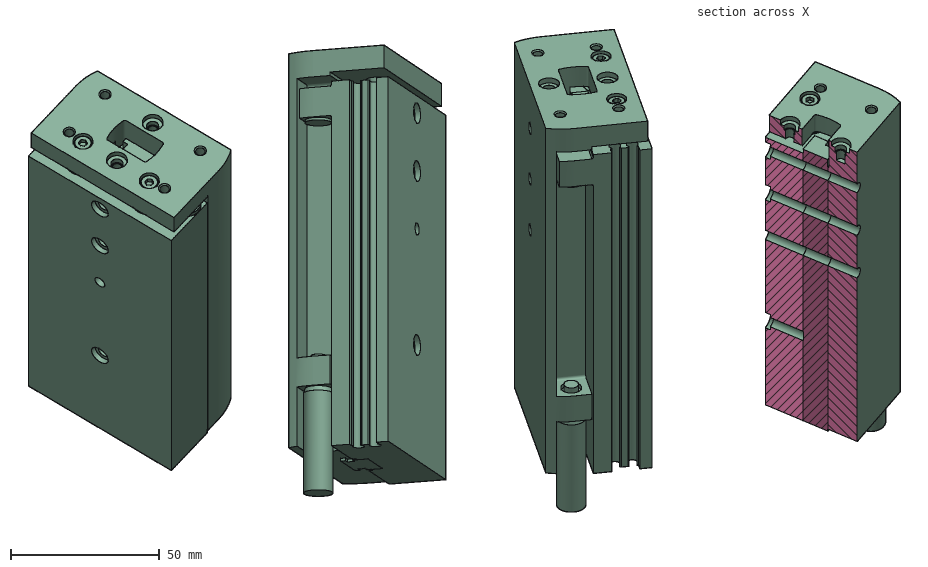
import cadquery as cq
import math

WIDTH = 60.0
DEPTH = 36.0
HEIGHT = 151.4
HALF_WIDTH = WIDTH / 2
HOLE_PITCH = 20.0

TABLE_LENGTH = 135.8
HEAD_THICKNESS = 7.9
HEAD_FRONT_Y = 1.5
BLOCK_FRONT_Y = 20.6
PLATE_THICKNESS = 3.5
SIDE_CURVE_INSET = 2.0
SIDE_CURVE_START_Y = 26.6
POCKET_WALL_X = -18.8
UPPER_POCKET_DEPTH = 9.1
LUG_TOP_DEPTH = 105.4
LUG_BOTTOM_DEPTH = 115.4
UPPER_POCKET_FILLET = 0.9
LOWER_POCKET_FILLET = 1.2
PLATE_INNER_Y = DEPTH - PLATE_THICKNESS

RAIL_WIDTH = 15.0
RAIL_FRONT_Y = 14.8
RAIL_BACK_Y = 24.5
RAIL_TOP_DEPTH = 9.2
RAIL_GROOVE_DEPTH = 2.0
RAIL_GROOVE_FRONT_Y = 20.3
RAIL_GROOVE_BACK_Y = 22.9
CHANNEL_CLEARANCE = 0.3
CHANNEL_END_WIDTH = 16.4
CHANNEL_MID_WIDTH = 17.7
CHANNEL_CORNER = 0.8
GUIDE_TOP_DEPTH = 12.7
GUIDE_FRONT_Y = 19.0
GUIDE_WIDTH = 18.2

HOUSING_TOP_DEPTH = 11.0
HOUSING_LENGTH = 125.7
HOUSING_BACK_Y = 20.1
SLOT_Y = (6.0, 12.0)
SLOT_BORE = 4.0
SLOT_THROAT = 2.7
SLOT_MOUTH = 3.6
SLOT_MOUTH_DEPTH = 0.2
SLOT_DEPTH = 4.0
SIDE_RECESS_DEPTH = 2.3
EAR_TOP_DEPTH = 12.7
EAR_BOTTOM_DEPTH = 22.9
EAR_BACK_Y = 31.6
EAR_INNER_X = -19.5
BUMPER_DIAMETER = 9.0
BUMPER_HEIGHT = 0.9
STOP_X = 24.8
STOP_Y = 15.1
STOP_DIAMETER = 10.0
STOP_TIP_DIAMETER = 5.0
STOP_HEIGHT = 1.5
STOP_TIP_HEIGHT = 0.9

THROUGH_HOLE = 4.1
DOWEL_BORE = 7.0
DOWEL_DEPTH = 2.0
THREAD_HOLE = 3.2
THREAD_DEPTH = 6.0
THREAD_MOUTH = 4.1
THREAD_MOUTH_DEPTH = 2.0
FIRST_HOLE_DEPTH = 17.0
HEAD_HOLE_FRONT_Y = 9.5

ROD_X = 14.0
ROD_Y = 9.1
ROD_DIAMETER = 8.0
ROD_RECESS_DIAMETER = 12.0
ROD_RECESS_DEPTH = 1.5
ROD_SHANK = 4.1
ROD_BORE = 6.7
ROD_BORE_DEPTH = 4.0
ROD_HEAD_DIAMETER = 6.0
ROD_HEAD_HEIGHT = 3.2
ROD_HEAD_CHAMFER = 0.3
SOCKET_FLATS = 2.5
SOCKET_DEPTH = 1.5

DAMPER_X = -24.5
DAMPER_Y = SIDE_CURVE_START_Y
DAMPER_DIAMETER = 10.0
DAMPER_TOP_DIAMETER = 9.0
DAMPER_CHAMFER_HEIGHT = 1.7
STUD_DIAMETER = 7.0
STUD_RECESS = 1.5
TIP_DIAMETER = 5.0
TIP_PROJECTION = 1.4

TABLE_BOTTOM = HEIGHT - TABLE_LENGTH
HEAD_BOTTOM = HEIGHT - HEAD_THICKNESS
LUG_TOP = HEIGHT - LUG_TOP_DEPTH
LUG_BOTTOM = HEIGHT - LUG_BOTTOM_DEPTH
HOUSING_TOP = HEIGHT - HOUSING_TOP_DEPTH
HOUSING_BOTTOM = HOUSING_TOP - HOUSING_LENGTH
EAR_TOP = HEIGHT - EAR_TOP_DEPTH
EAR_BOTTOM = HEIGHT - EAR_BOTTOM_DEPTH
GUIDE_TOP = HEIGHT - GUIDE_TOP_DEPTH
ROD_FOOT = HOUSING_TOP - ROD_RECESS_DEPTH
RAIL_TOP = HEIGHT - RAIL_TOP_DEPTH
FIRST_HOLE_Z = HEIGHT - FIRST_HOLE_DEPTH
SECOND_HOLE_Z = FIRST_HOLE_Z - HOLE_PITCH
THIRD_HOLE_Z = SECOND_HOLE_Z - HOLE_PITCH
FOURTH_HOLE_Z = THIRD_HOLE_Z - 2 * HOLE_PITCH
ACCESS_HOLE_HEIGHTS = (FIRST_HOLE_Z, SECOND_HOLE_Z, THIRD_HOLE_Z)
DOWEL_HOLE_HEIGHTS = (FIRST_HOLE_Z, SECOND_HOLE_Z, FOURTH_HOLE_Z)


def box(x0, x1, y0, y1, z0, z1):
    """Box between two opposite corners."""
    return cq.Workplane("XY").box(x1 - x0, y1 - y0, z1 - z0, centered=False).translate((x0, y0, z0))


def upright(diameter, x, y, z0, z1):
    """Cylinder along Z."""
    return cq.Workplane("XY", origin=(x, y, z0)).circle(diameter / 2).extrude(z1 - z0)


def bore_along_y(diameter, z, y0, y1):
    """Cylinder along Y on the mid plane."""
    return cq.Workplane("XZ", origin=(0, y0, z)).circle(diameter / 2).extrude(y0 - y1)


def curved_side_prism(front_y, z0, z1):
    """Full-width prism whose two sides curve inward toward the back face."""
    curve_length = DEPTH - SIDE_CURVE_START_Y
    radius = (SIDE_CURVE_INSET**2 + curve_length**2) / (2 * SIDE_CURVE_INSET)
    half_angle = math.asin(curve_length / radius) / 2
    mid_x = HALF_WIDTH - radius * (1 - math.cos(half_angle))
    mid_y = SIDE_CURVE_START_Y + radius * math.sin(half_angle)
    back_x = HALF_WIDTH - SIDE_CURVE_INSET
    return (
        cq.Workplane("XY", origin=(0, 0, z0))
        .moveTo(-HALF_WIDTH, front_y)
        .lineTo(HALF_WIDTH, front_y)
        .lineTo(HALF_WIDTH, SIDE_CURVE_START_Y)
        .threePointArc((mid_x, mid_y), (back_x, DEPTH))
        .lineTo(-back_x, DEPTH)
        .threePointArc((-mid_x, mid_y), (-HALF_WIDTH, SIDE_CURVE_START_Y))
        .close()
        .extrude(z1 - z0)
    )


def rail_profile(z0, z1):
    """Rectangular bar with a groove along each side."""
    half = RAIL_WIDTH / 2
    groove_x = half - RAIL_GROOVE_DEPTH
    bar = box(-half, half, RAIL_FRONT_Y, RAIL_BACK_Y, z0, z1)
    for x0, x1 in ((-half, -groove_x), (groove_x, half)):
        bar = bar.cut(box(x0, x1, RAIL_GROOVE_FRONT_Y, RAIL_GROOVE_BACK_Y, z0, z1))
    return bar


def make_rail():
    rail = rail_profile(HOUSING_BOTTOM, RAIL_TOP)
    for z in ACCESS_HOLE_HEIGHTS:
        rail = rail.cut(bore_along_y(THROUGH_HOLE, z, 0, DEPTH))
    return rail


def rail_channel():
    """Bow-sided opening around the rail, from the table top down to the guide."""
    front_y = RAIL_FRONT_Y - CHANNEL_CLEARANCE
    back_y = RAIL_BACK_Y + CHANNEL_CLEARANCE
    mid_y = (front_y + back_y) / 2
    end_x = CHANNEL_END_WIDTH / 2
    mid_x = CHANNEL_MID_WIDTH / 2
    return (
        cq.Workplane("XY", origin=(0, 0, GUIDE_TOP))
        .moveTo(-end_x, front_y)
        .lineTo(end_x, front_y)
        .threePointArc((mid_x, mid_y), (end_x, back_y))
        .lineTo(-end_x, back_y)
        .threePointArc((-mid_x, mid_y), (-end_x, front_y))
        .close()
        .extrude(GUIDE_TOP_DEPTH)
        .edges("|Z")
        .fillet(CHANNEL_CORNER)
    )


def rail_guide():
    """Shoulder of the carriage that stands forward beside the rail."""
    half = GUIDE_WIDTH / 2
    return box(-half, half, GUIDE_FRONT_Y, BLOCK_FRONT_Y, TABLE_BOTTOM, GUIDE_TOP)


def upper_pocket():
    """Side pocket between the head and the lug, rounded along its inner wall."""
    pocket = box(-WIDTH, POCKET_WALL_X, 0, PLATE_INNER_Y, LUG_TOP, HEIGHT - UPPER_POCKET_DEPTH)
    return pocket.faces(">X").edges("|Y").fillet(UPPER_POCKET_FILLET)


def lower_pocket():
    """Side pocket below the lug, open at the foot of the table."""
    pocket = box(-WIDTH, POCKET_WALL_X, 0, PLATE_INNER_Y, TABLE_BOTTOM, LUG_BOTTOM)
    return pocket.faces(">X").edges("|Y and >Z").fillet(LOWER_POCKET_FILLET)


def threaded_hole(x, y):
    """Blind hole in the head with a chamfered mouth."""
    mouth_depth = (THREAD_MOUTH - THREAD_HOLE) / 2
    hole = upright(THREAD_HOLE, x, y, HEIGHT - THREAD_DEPTH, HEIGHT)
    mouth = (
        cq.Workplane("XY", origin=(x, y, HEIGHT - mouth_depth))
        .circle(THREAD_HOLE / 2)
        .workplane(offset=mouth_depth)
        .circle(THREAD_MOUTH / 2)
        .loft()
    )
    return hole.union(mouth)


def make_table():
    head = curved_side_prism(HEAD_FRONT_Y, HEAD_BOTTOM, HEIGHT)
    carriage = curved_side_prism(BLOCK_FRONT_Y, TABLE_BOTTOM, HEIGHT)
    table = head.union(carriage)
    table = table.union(rail_guide())
    table = table.cut(upper_pocket()).cut(lower_pocket())
    table = table.cut(rail_channel()).cut(rail_profile(TABLE_BOTTOM, GUIDE_TOP))

    for y in (HEAD_HOLE_FRONT_Y, HEAD_HOLE_FRONT_Y + HOLE_PITCH):
        for x in (-HOLE_PITCH, HOLE_PITCH):
            table = table.cut(threaded_hole(x, y))
        table = table.cut(upright(THREAD_HOLE, 0, y, HEAD_BOTTOM, HEIGHT))
        table = table.cut(upright(THREAD_MOUTH, 0, y, HEIGHT - DOWEL_DEPTH - THREAD_MOUTH_DEPTH, HEIGHT))
        table = table.cut(upright(DOWEL_BORE, 0, y, HEIGHT - DOWEL_DEPTH, HEIGHT))

    for x in (-ROD_X, ROD_X):
        table = table.cut(upright(ROD_SHANK, x, ROD_Y, HEAD_BOTTOM, HEIGHT))
        table = table.cut(upright(ROD_BORE, x, ROD_Y, HEIGHT - ROD_BORE_DEPTH, HEIGHT))

    for z in ACCESS_HOLE_HEIGHTS:
        table = table.cut(bore_along_y(THROUGH_HOLE, z, 0, DEPTH))

    return table.cut(upright(STUD_DIAMETER, DAMPER_X, DAMPER_Y, LUG_BOTTOM, LUG_TOP))


def side_recess():
    """Shallow recess along the -X side that holds both sensor slots."""
    front_y = SLOT_Y[0] - SLOT_MOUTH / 2
    back_y = SLOT_Y[1] + SLOT_MOUTH / 2
    floor_x = SIDE_RECESS_DEPTH - HALF_WIDTH
    return box(-HALF_WIDTH, floor_x, front_y, back_y, HOUSING_BOTTOM, HOUSING_TOP)


def sensor_slot(y):
    """Round-bottomed slot in the recess floor with a chamfered, narrowed mouth."""
    floor_x = SIDE_RECESS_DEPTH - HALF_WIDTH
    bore_depth = SLOT_DEPTH - SLOT_BORE / 2
    bore = upright(SLOT_BORE, floor_x + bore_depth, y, HOUSING_BOTTOM, HOUSING_TOP)
    mouth = (
        cq.Workplane("XY", origin=(floor_x, y, HOUSING_BOTTOM))
        .moveTo(0, -SLOT_MOUTH / 2)
        .lineTo(SLOT_MOUTH_DEPTH, -SLOT_THROAT / 2)
        .lineTo(bore_depth, -SLOT_THROAT / 2)
        .lineTo(bore_depth, SLOT_THROAT / 2)
        .lineTo(SLOT_MOUTH_DEPTH, SLOT_THROAT / 2)
        .lineTo(0, SLOT_MOUTH / 2)
        .close()
        .extrude(HOUSING_LENGTH)
    )
    return bore.union(mouth)


def stop_ear():
    """Ear behind the housing, flared at its root, with a round bumper underneath."""
    flare = BLOCK_FRONT_Y - HOUSING_BACK_Y
    ear = (
        cq.Workplane("YZ", origin=(-HALF_WIDTH, 0, 0))
        .moveTo(HOUSING_BACK_Y, EAR_BOTTOM - flare)
        .lineTo(HOUSING_BACK_Y + flare, EAR_BOTTOM)
        .lineTo(EAR_BACK_Y, EAR_BOTTOM)
        .lineTo(EAR_BACK_Y, EAR_TOP)
        .lineTo(HOUSING_BACK_Y + flare, EAR_TOP)
        .lineTo(HOUSING_BACK_Y, EAR_TOP + flare)
        .close()
        .extrude(EAR_INNER_X + HALF_WIDTH)
    )
    ear = ear.intersect(curved_side_prism(0, HOUSING_BOTTOM, HOUSING_TOP))
    return ear.union(upright(BUMPER_DIAMETER, DAMPER_X, DAMPER_Y, EAR_BOTTOM - BUMPER_HEIGHT, EAR_BOTTOM))


def end_stop():
    """Stepped round stop on top of the housing."""
    step_z = HOUSING_TOP + STOP_HEIGHT
    base = upright(STOP_DIAMETER, STOP_X, STOP_Y, HOUSING_TOP, step_z)
    return base.union(upright(STOP_TIP_DIAMETER, STOP_X, STOP_Y, step_z, step_z + STOP_TIP_HEIGHT))


def make_housing():
    housing = box(-HALF_WIDTH, HALF_WIDTH, 0, HOUSING_BACK_Y, HOUSING_BOTTOM, HOUSING_TOP)
    housing = housing.cut(side_recess())
    for y in SLOT_Y:
        housing = housing.cut(sensor_slot(y))
    housing = housing.union(stop_ear()).union(end_stop())

    for x in (-ROD_X, ROD_X):
        housing = housing.cut(upright(ROD_RECESS_DIAMETER, x, ROD_Y, ROD_FOOT, HOUSING_TOP))

    for width, floor_y in ((RAIL_WIDTH, RAIL_FRONT_Y), (GUIDE_WIDTH, GUIDE_FRONT_Y)):
        half = width / 2
        housing = housing.cut(box(-half, half, floor_y, DEPTH, HOUSING_BOTTOM, HOUSING_TOP))

    for z in (*ACCESS_HOLE_HEIGHTS, FOURTH_HOLE_Z):
        housing = housing.cut(bore_along_y(THROUGH_HOLE, z, 0, HOUSING_BACK_Y))
    for z in DOWEL_HOLE_HEIGHTS:
        housing = housing.cut(bore_along_y(DOWEL_BORE, z, 0, DOWEL_DEPTH))
    return housing


def make_rod(x):
    """Rod standing in its housing recess, held to the head by a socket-head end."""
    seat_z = HEIGHT - ROD_BORE_DEPTH
    head_top = seat_z + ROD_HEAD_HEIGHT
    rod = upright(ROD_DIAMETER, x, ROD_Y, ROD_FOOT, HEAD_BOTTOM)
    shank = upright(ROD_SHANK, x, ROD_Y, HEAD_BOTTOM, seat_z)
    head = upright(ROD_HEAD_DIAMETER, x, ROD_Y, seat_z, head_top)
    head = head.faces(">Z").edges().chamfer(ROD_HEAD_CHAMFER)
    socket = (
        cq.Workplane("XY", origin=(x, ROD_Y, head_top - SOCKET_DEPTH))
        .polygon(6, SOCKET_FLATS, circumscribed=True)
        .extrude(SOCKET_DEPTH)
    )
    return rod.union(shank).union(head).cut(socket)


def make_damper():
    """Chamfered cylinder below the lug, with a stud through it and a striking tip."""
    stud_top = LUG_TOP - STUD_RECESS
    chamfer_width = (DAMPER_DIAMETER - DAMPER_TOP_DIAMETER) / 2
    barrel = upright(DAMPER_DIAMETER, DAMPER_X, DAMPER_Y, 0, LUG_BOTTOM)
    barrel = barrel.faces(">Z").chamfer(DAMPER_CHAMFER_HEIGHT, chamfer_width)
    stud = upright(STUD_DIAMETER, DAMPER_X, DAMPER_Y, LUG_BOTTOM, stud_top)
    tip = upright(TIP_DIAMETER, DAMPER_X, DAMPER_Y, stud_top, LUG_TOP + TIP_PROJECTION)
    return barrel.union(stud).union(tip)


table = make_table()
rail = make_rail()
housing = make_housing()
rods = [make_rod(x) for x in (-ROD_X, ROD_X)]
damper = make_damper()

result = cq.Compound.makeCompound(
    [housing.val(), table.val(), rail.val(), *[rod.val() for rod in rods], damper.val()]
)